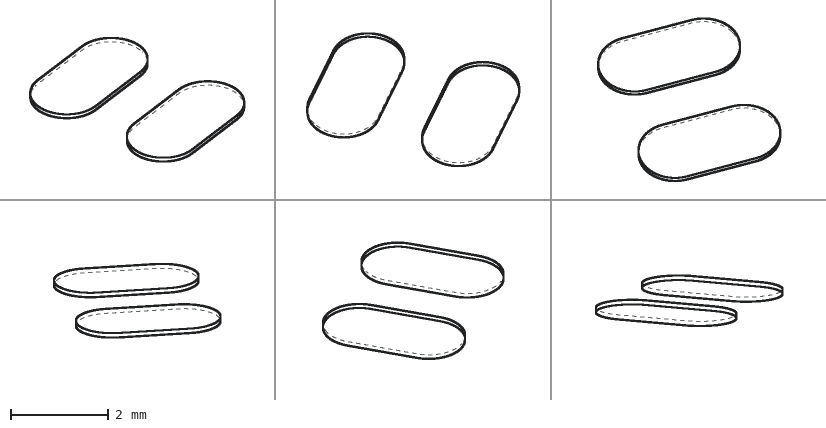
import cadquery as cq

overall_width = 4.0
pad_length = 3.0
pad_width = 1.5
pad_thickness = 0.1

pad_offset = (overall_width - pad_width) / 2


def make_pad(center_x):
    """Flat pad with fully rounded ends, lying on the XY plane."""
    return (
        cq.Workplane("XY")
        .center(center_x, 0)
        .slot2D(pad_length, pad_width, angle=90)
        .extrude(pad_thickness)
    )


pads = [make_pad(center_x) for center_x in (-pad_offset, pad_offset)]

result = cq.Compound.makeCompound([pad.val() for pad in pads])